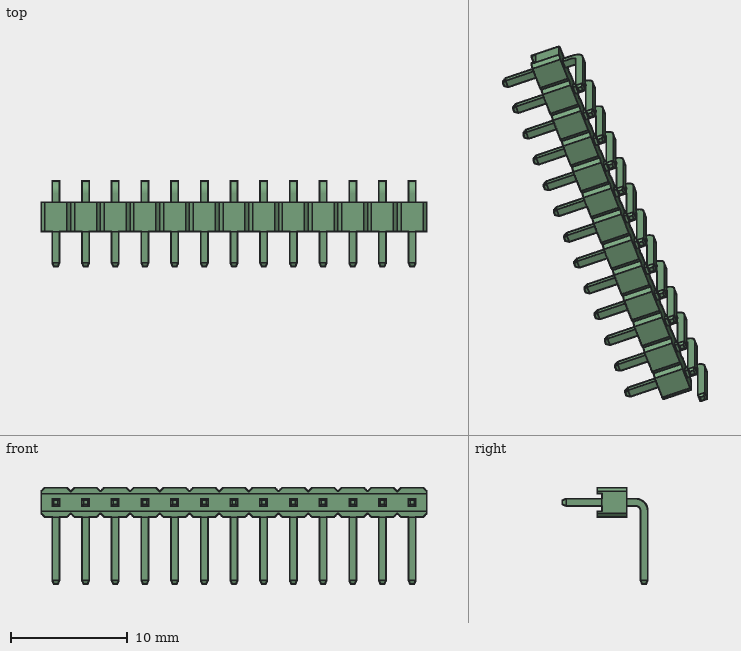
import cadquery as cq

pin_count = 13
pitch = 2.54

housing_length = pin_count * pitch
housing_size = 2.54
corner_chamfer = 0.33
recess_height = 1.5
recess_depth = 0.41

pin_width = 0.64
front_reach = 2.99
rear_reach = 1.80
overall_height = 8.27
bend_outer_radius = 1.04
bend_inner_radius = bend_outer_radius - pin_width
tip_length = 0.33
tip_inset = 0.15

half_housing = housing_size / 2
half_pin = pin_width / 2
front_end_y = -half_housing - front_reach
leg_back_y = half_housing + rear_reach
leg_front_y = leg_back_y - pin_width
leg_center_y = leg_back_y - half_pin
leg_bottom_z = half_housing - overall_height
bend_center_y = leg_back_y - bend_outer_radius
bend_center_z = half_pin - bend_outer_radius


def pin_position_x(index):
    return (index - (pin_count - 1) / 2) * pitch


def make_housing():
    """Chamfered blocks joined side by side, with a channel cut along the front face."""
    block = (
        cq.Workplane("XY")
        .box(pitch, housing_size, housing_size)
        .edges("|Y")
        .chamfer(corner_chamfer)
    )
    housing = block.translate((pin_position_x(0), 0, 0))
    for index in range(1, pin_count):
        housing = housing.union(block.translate((pin_position_x(index), 0, 0)))
    recess = (
        cq.Workplane("XY")
        .box(housing_length, recess_depth, recess_height)
        .translate((0, (recess_depth - housing_size) / 2, 0))
    )
    return housing.cut(recess)


def make_tip(base_plane):
    """Square pyramid frustum rising from a pin end along the normal of base_plane."""
    end_width = pin_width - 2 * tip_inset
    return (
        cq.Workplane(base_plane)
        .rect(pin_width, pin_width)
        .workplane(offset=tip_length)
        .rect(end_width, end_width)
        .loft(ruled=True)
    )


def make_pin():
    """Square pin running back through the housing and bent down behind it, at X = 0."""
    shank_front_y = front_end_y + tip_length
    leg_end_z = leg_bottom_z + tip_length
    shank = (
        cq.Workplane("YZ")
        .moveTo(shank_front_y, half_pin)
        .lineTo(bend_center_y, half_pin)
        .radiusArc((leg_back_y, bend_center_z), bend_outer_radius)
        .lineTo(leg_back_y, leg_end_z)
        .lineTo(leg_front_y, leg_end_z)
        .lineTo(leg_front_y, bend_center_z)
        .radiusArc((bend_center_y, -half_pin), -bend_inner_radius)
        .lineTo(shank_front_y, -half_pin)
        .close()
        .extrude(half_pin, both=True)
    )
    front_plane = cq.Plane(origin=(0, shank_front_y, 0), xDir=(1, 0, 0), normal=(0, -1, 0))
    leg_plane = cq.Plane(origin=(0, leg_center_y, leg_end_z), xDir=(1, 0, 0), normal=(0, 0, -1))
    return shank.union(make_tip(front_plane)).union(make_tip(leg_plane))


result = make_housing()
pin = make_pin()
for pin_index in range(pin_count):
    result = result.union(pin.translate((pin_position_x(pin_index), 0, 0)))